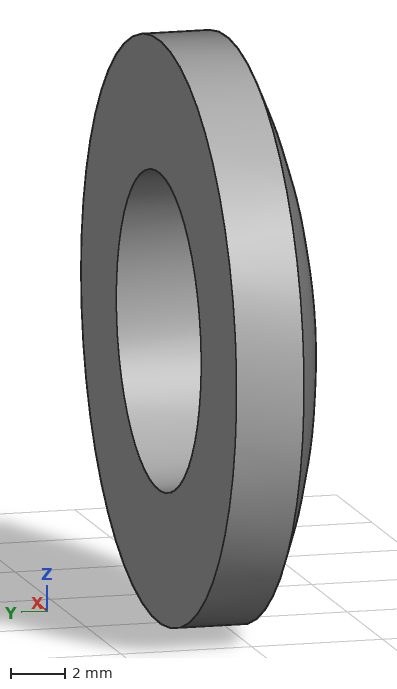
import cadquery as cq
import math

outer_diameter = 22.0
hole_diameter = 12.0
thickness = 4.4
sphere_radius = 25.0

outer_radius = outer_diameter / 2
hole_radius = hole_diameter / 2


def sphere_height(radius):
    """Axial distance from the sphere center to its surface at a given radius."""
    return math.sqrt(sphere_radius**2 - radius**2)


front_y = -thickness
sphere_center_y = front_y + sphere_height(hole_radius)
rim_y = sphere_center_y - sphere_height(outer_radius)
middle_radius = (hole_radius + outer_radius) / 2
middle_y = sphere_center_y - sphere_height(middle_radius)

half_section = (
    cq.Workplane("XY")
    .moveTo(hole_radius, 0)
    .lineTo(outer_radius, 0)
    .lineTo(outer_radius, rim_y)
    .threePointArc((middle_radius, middle_y), (hole_radius, front_y))
    .close()
)

result = half_section.revolve(360, (0, 0, 0), (0, 1, 0))